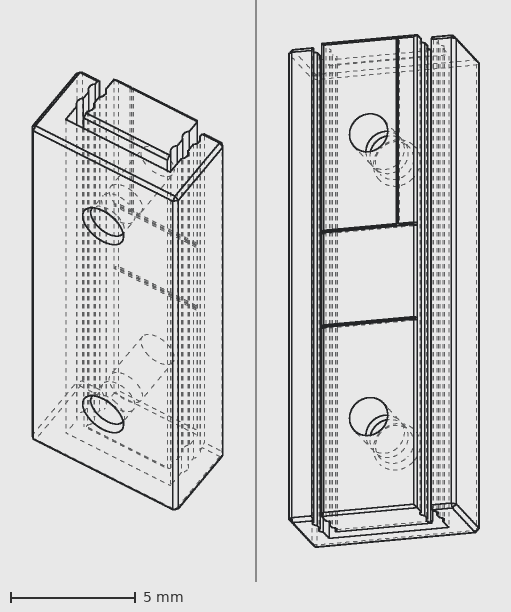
import cadquery as cq

length = 20.0
housing_width = 7.0
housing_depth = 3.6
channel_width = 5.0
floor_thickness = 1.1
housing_chamfer = 0.15

carriage_width = 4.0
carriage_bottom = 1.65
carriage_top = 4.0
carriage_outer_chamfer = 0.12
carriage_inner_chamfer = 0.15

groove_y_positions = (2.15, 3.05)
groove_radius = 0.3
groove_depth = 0.12
groove_offset = groove_radius - groove_depth

hole_diameter = 1.6
countersink_diameter = 1.95
countersink_depth = 0.32
hole_spacing = 12.0
hole_z_positions = (-hole_spacing / 2, hole_spacing / 2)

mark_width = 0.1
mark_depth = carriage_outer_chamfer
mark_z = 2.0
mark_x = -1.2


def block(width, bottom, top, height):
    """Box centred on X and Z that reaches from bottom to top along Y."""
    return cq.Workplane("XY").box(width, top - bottom, height).translate((0, (bottom + top) / 2, 0))


def ball_grooves(gap_face_x, toward_gap):
    """Groove cutters for faces at +-gap_face_x; toward_gap is +1 if the gap lies farther out in X."""
    axis_x = gap_face_x + toward_gap * groove_offset
    centres = [(side * axis_x, y) for side in (-1, 1) for y in groove_y_positions]
    return cq.Workplane("XY").pushPoints(centres).circle(groove_radius).extrude(length / 2, both=True)


def mounting_holes(start_y, end_y):
    """Plain hole cutters along Y between two depths."""
    workplane = cq.Workplane("XZ", origin=(0, start_y, 0))
    centres = [(0, z) for z in hole_z_positions]
    return workplane.pushPoints(centres).circle(hole_diameter / 2).extrude(start_y - end_y)


def countersinks():
    """Cone cutters that widen the holes at the back face of the housing."""
    cones = cq.Workplane("XY")
    for z in hole_z_positions:
        cone = cq.Solid.makeCone(
            countersink_diameter / 2,
            hole_diameter / 2,
            countersink_depth,
            cq.Vector(0, 0, z),
            cq.Vector(0, 1, 0),
        )
        cones = cones.add(cone)
    return cones.combine()


def make_housing():
    body = block(housing_width, 0, housing_depth, length).edges().chamfer(housing_chamfer)
    body = body.cut(block(channel_width, floor_thickness, housing_depth, length))
    body = body.cut(ball_grooves(channel_width / 2, -1))
    body = body.cut(mounting_holes(0, floor_thickness))
    return body.cut(countersinks())


def marking_lines():
    """Two lines across the carriage, and one from its top end down to the upper of the two."""
    floor_y = carriage_top - mark_depth
    lines = block(carriage_width, floor_y, carriage_top, mark_width).translate((0, 0, mark_z))
    lines = lines.union(lines.mirror("XY"))
    upright_length = length / 2 - mark_z + mark_width / 2
    upright = block(mark_width, floor_y, carriage_top, upright_length)
    return lines.union(upright.translate((mark_x, 0, (length - upright_length) / 2)))


def make_carriage():
    body = block(carriage_width, carriage_bottom, carriage_top, length)
    body = body.faces(">Y").edges().chamfer(carriage_outer_chamfer)
    body = body.faces("<Y").edges("|X").chamfer(carriage_inner_chamfer)
    body = body.cut(ball_grooves(carriage_width / 2, 1))
    body = body.cut(mounting_holes(carriage_bottom, carriage_top))
    return body.cut(marking_lines())


housing = make_housing()
carriage = make_carriage()

result = cq.Compound.makeCompound([housing.val(), carriage.val()])